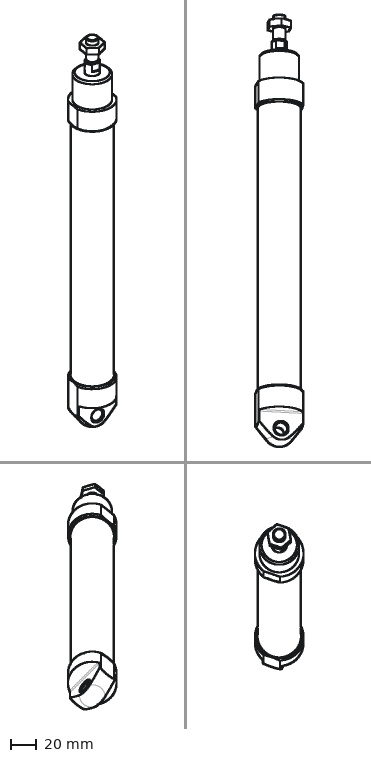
import cadquery as cq
import math

tube_diameter = 33.7
cap_diameter = 38.0
cap_flat_width = 35.5
cap_chamfer = 1.5

eye_radius = 12.3
eye_hole_diameter = 10.0
eye_hole_rim_diameter = 12.0
tongue_width = 15.8
cone_angle = 37.0
shoulder_z = 26.5
shoulder_fillet = 1.0
rear_cap_top_z = 45.0

front_cap_bottom_z = 276.3
front_cap_top_z = 295.3
neck_diameter = 31.0
neck_top_z = 320.0
neck_chamfer = 1.8

rod_diameter = 12.0
rod_shoulder_z = 330.0
rod_flat_width = 10.0
rod_flat_bottom_z = 323.7
thread_diameter = 10.0
undercut_diameter = 8.8
undercut_top_z = 331.5
thread_tip_z = 351.5
thread_chamfer = 0.7

nut_bottom_z = 341.0
nut_height = 6.0
nut_width = 17.0
nut_chamfer_angle = 15.0


def cylinder(diameter, bottom_z, top_z):
    """Upright cylinder on the Z axis."""
    return cq.Workplane("XY").workplane(offset=bottom_z).circle(diameter / 2).extrude(top_z - bottom_z)


def block(x_size, y_size, bottom_z, top_z):
    """Upright box centred on the Z axis."""
    return cq.Workplane("XY").workplane(offset=bottom_z).rect(x_size, y_size).extrude(top_z - bottom_z)


def make_eye_hole():
    """Cutter along X for the eye hole, flared at both faces of the tongue."""
    face_x = tongue_width / 2
    hole_radius = eye_hole_diameter / 2
    rim_radius = eye_hole_rim_diameter / 2
    flare_start_x = face_x - (rim_radius - hole_radius)
    return (
        cq.Workplane("XY")
        .polyline([
            (-face_x, 0),
            (-face_x, rim_radius),
            (-flare_start_x, hole_radius),
            (flare_start_x, hole_radius),
            (face_x, rim_radius),
            (face_x, 0),
        ])
        .close()
        .revolve(360, (0, 0, 0), (1, 0, 0))
        .translate((0, 0, eye_radius))
    )


def make_rear_cap():
    """Flatted cap ending in a tongue with a cross hole and a rounded conical end."""
    cap_radius = cap_diameter / 2
    angle = math.radians(cone_angle)
    tangent_r = eye_radius * math.cos(angle)
    tangent_z = eye_radius * (1 - math.sin(angle))
    cone_top_z = tangent_z + (cap_radius - tangent_r) / math.tan(angle)
    mid_angle = math.radians((90 + cone_angle) / 2)
    arc_mid = (eye_radius * math.cos(mid_angle), eye_radius * (1 - math.sin(mid_angle)))
    cap = (
        cq.Workplane("XZ")
        .moveTo(0, 0)
        .threePointArc(arc_mid, (tangent_r, tangent_z))
        .lineTo(cap_radius, cone_top_z)
        .lineTo(cap_radius, rear_cap_top_z - cap_chamfer)
        .lineTo(cap_radius - cap_chamfer, rear_cap_top_z)
        .lineTo(0, rear_cap_top_z)
        .close()
        .revolve(360, (0, 0, 0), (0, 1, 0))
    )
    tongue_and_collar = block(tongue_width, cap_flat_width, 0, shoulder_z).union(
        block(cap_diameter, cap_flat_width, shoulder_z, rear_cap_top_z)
    )
    shoulder_edges = cq.selectors.BoxSelector(
        (-tongue_width, -cap_diameter, shoulder_z - shoulder_fillet),
        (tongue_width, cap_diameter, shoulder_z + shoulder_fillet),
    )
    tongue_and_collar = tongue_and_collar.edges("|Y").edges(shoulder_edges).fillet(shoulder_fillet)
    return cap.intersect(tongue_and_collar).cut(make_eye_hole())


def make_front_cap():
    """Flatted collar carrying the chamfered neck."""
    collar = cylinder(cap_diameter, front_cap_bottom_z, front_cap_top_z).faces("<Z").chamfer(cap_chamfer)
    collar = collar.intersect(block(cap_diameter, cap_flat_width, front_cap_bottom_z, front_cap_top_z))
    neck = cylinder(neck_diameter, front_cap_top_z, neck_top_z).faces(">Z").chamfer(neck_chamfer)
    return collar.union(neck)


def make_housing():
    """Tube with both end caps."""
    tube = cylinder(tube_diameter, rear_cap_top_z, front_cap_bottom_z)
    return make_rear_cap().union(tube).union(make_front_cap())


def make_rod():
    """Rod standing on the neck, with wrench flats, an undercut and a threaded end of plain diameter."""
    rod = cylinder(rod_diameter, neck_top_z, rod_shoulder_z)
    flats = block(rod_flat_width, rod_diameter, rod_flat_bottom_z, rod_shoulder_z)
    round_base = cylinder(rod_diameter, neck_top_z, rod_flat_bottom_z)
    rod = rod.intersect(flats.union(round_base))
    undercut = cylinder(undercut_diameter, rod_shoulder_z, undercut_top_z)
    thread = cylinder(thread_diameter, undercut_top_z, thread_tip_z).faces(">Z").chamfer(thread_chamfer)
    return rod.union(undercut).union(thread)


def make_nut():
    """Hexagon nut with two corners on X and its upper corners chamfered."""
    corner_diameter = nut_width / math.cos(math.pi / 6)
    chamfer_width = (corner_diameter - nut_width) / 2
    chamfer_height = chamfer_width * math.tan(math.radians(nut_chamfer_angle))
    nut_top_z = nut_bottom_z + nut_height
    hexagon = (
        cq.Workplane("XY").workplane(offset=nut_bottom_z).polygon(6, corner_diameter).extrude(nut_height)
    )
    chamfered_round = (
        cq.Workplane("XZ")
        .moveTo(0, nut_bottom_z)
        .lineTo(corner_diameter / 2, nut_bottom_z)
        .lineTo(corner_diameter / 2, nut_top_z - chamfer_height)
        .lineTo(nut_width / 2, nut_top_z)
        .lineTo(0, nut_top_z)
        .close()
        .revolve(360, (0, 0, 0), (0, 1, 0))
    )
    bore = cylinder(thread_diameter, nut_bottom_z, nut_top_z)
    return hexagon.intersect(chamfered_round).cut(bore)


housing = make_housing()
rod = make_rod()
nut = make_nut()

result = cq.Compound.makeCompound([housing.val(), rod.val(), nut.val()])